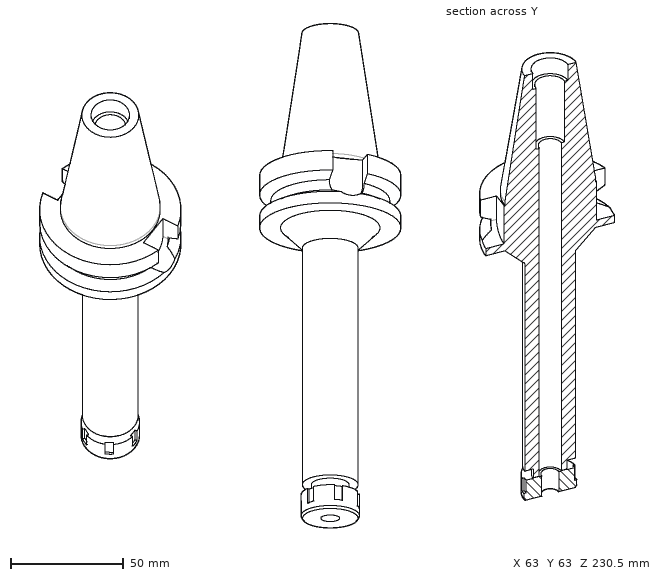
import cadquery as cq

TOTAL_LENGTH = 230.5

taper_top_radius = 12.7
taper_base_radius = 44.5 / 2
taper_base_height = 165.0

flange_radius = 63.0 / 2
flange_top_height = 163.0
flange_bottom_height = 138.0
groove_radius = 26.5
groove_upper_edge = 153.7
groove_floor_top = 151.0
groove_floor_bottom = 146.0
groove_lower_edge = 143.5

keyway_width = 16.1
keyway_floor_distance = 22.5
keyway_bottom_height = 142.2

stem_radius = 12.5
cone_height = 9.7
cone_top_radius = stem_radius + cone_height
neck_bottom_height = 11.0
neck_top_height = 16.0
neck_radius = 16.8 / 2

holder_hole_radius = 5.3
nut_hole_radius = 4.1
entry_bore_radius = 8.5
entry_bore_depth = 8.5
middle_bore_radius = 7.0
middle_bore_depth = 41.5

nut_radius = 26.0 / 2
nut_chamfer_width = 0.7
nut_chamfer_height = 1.2
nut_slot_count = 6
nut_slot_width = 3.7
nut_slot_depth = 1.2
nut_slot_bottom_height = 4.1


def make_bore(radius, bottom_height, top_height):
    """Cylinder on the Z axis between two heights."""
    height = top_height - bottom_height
    return cq.Workplane("XY", origin=(0, 0, bottom_height)).circle(radius).extrude(height)


def make_keyway(angle):
    """Upright cutter with a flat radial floor and a half-round lower end."""
    end_radius = keyway_width / 2
    arc_center_height = keyway_bottom_height + end_radius
    return (
        cq.Workplane("YZ", origin=(keyway_floor_distance, 0, 0))
        .moveTo(-end_radius, flange_top_height)
        .lineTo(-end_radius, arc_center_height)
        .threePointArc((0, keyway_bottom_height), (end_radius, arc_center_height))
        .lineTo(end_radius, flange_top_height)
        .close()
        .extrude(flange_radius)
        .rotate((0, 0, 0), (0, 0, 1), angle)
    )


def make_holder():
    """Turned tool holder: neck, stem, cone, grooved flange and taper shank."""
    profile = [
        (0, neck_bottom_height),
        (neck_radius, neck_bottom_height),
        (neck_radius, neck_top_height),
        (stem_radius, neck_top_height),
        (stem_radius, flange_bottom_height - cone_height),
        (cone_top_radius, flange_bottom_height),
        (flange_radius, flange_bottom_height),
        (flange_radius, groove_lower_edge),
        (groove_radius, groove_floor_bottom),
        (groove_radius, groove_floor_top),
        (flange_radius, groove_upper_edge),
        (flange_radius, flange_top_height),
        (taper_base_radius, flange_top_height),
        (taper_base_radius, taper_base_height),
        (taper_top_radius, TOTAL_LENGTH),
        (0, TOTAL_LENGTH),
    ]
    body = cq.Workplane("XZ").polyline(profile).close().revolve(360, (0, 0), (0, 1))

    for angle in (0, 180):
        body = body.cut(make_keyway(angle))

    body = body.cut(make_bore(holder_hole_radius, neck_bottom_height, TOTAL_LENGTH))
    body = body.cut(make_bore(middle_bore_radius, TOTAL_LENGTH - middle_bore_depth, TOTAL_LENGTH))
    return body.cut(make_bore(entry_bore_radius, TOTAL_LENGTH - entry_bore_depth, TOTAL_LENGTH))


def make_nut():
    """Clamping nut under the neck, with wrench slots open at its top face."""
    profile = [
        (nut_hole_radius, 0),
        (nut_radius - nut_chamfer_width, 0),
        (nut_radius, nut_chamfer_height),
        (nut_radius, neck_bottom_height),
        (nut_hole_radius, neck_bottom_height),
    ]
    nut = cq.Workplane("XZ").polyline(profile).close().revolve(360, (0, 0), (0, 1))

    slot_height = neck_bottom_height - nut_slot_bottom_height
    slot_center_height = nut_slot_bottom_height + slot_height / 2
    slot = cq.Workplane("XY").box(2 * nut_slot_depth, nut_slot_width, slot_height)
    slot = slot.translate((nut_radius, 0, slot_center_height))
    for index in range(nut_slot_count):
        nut = nut.cut(slot.rotate((0, 0, 0), (0, 0, 1), index * 360 / nut_slot_count))
    return nut


holder = make_holder()
nut = make_nut()

result = cq.Compound.makeCompound([holder.val(), nut.val()])